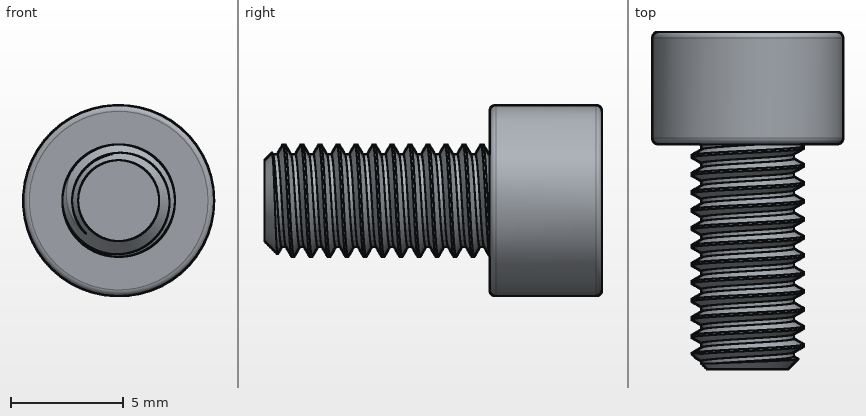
import cadquery as cq
import math


head_diameter = 8.5
head_height = 5.0
head_edge_radius = 0.28

thread_diameter = 5.0
thread_pitch = 0.8
shank_length = 10.0
tip_chamfer = 0.7
flank_half_angle = math.radians(30)

first_crest_distance = 0.133

sharp_height = thread_pitch / 2 / math.tan(flank_half_angle)
thread_depth = sharp_height * 5 / 8
crest_radius = thread_diameter / 2
root_radius = crest_radius - thread_depth
crest_flat = thread_pitch / 8

ridge_embedding = 0.05

ridge_overrun = thread_pitch
core_overrun = 2 * thread_pitch

envelope_clearance = 0.1


def make_ridge():
    """Helical thread ridge, overrunning the shank at both ends."""
    base_radius = root_radius - ridge_embedding
    crest_half = crest_flat / 2
    base_half = crest_half + (crest_radius - base_radius) * math.tan(flank_half_angle)
    helix = cq.Wire.makeHelix(thread_pitch, shank_length + 2 * ridge_overrun, root_radius)
    profile = (
        cq.Workplane("XZ")
        .moveTo(base_radius, -base_half)
        .lineTo(crest_radius, -crest_half)
        .lineTo(crest_radius, crest_half)
        .lineTo(base_radius, base_half)
        .close()
    )
    ridge = profile.sweep(cq.Workplane(obj=helix), isFrenet=True)
    return ridge.translate((0, 0, -ridge_overrun))


def make_long_core():
    """Root cylinder that sticks out past the ridge at both ends."""
    core = cq.Workplane("XY", origin=(0, 0, -core_overrun)).circle(root_radius)
    return core.extrude(shank_length + 2 * core_overrun)


def make_shank_envelope():
    """Cylinder as long as the shank and a little wider, whose chamfer cone bevels the tip."""
    cylinder = cq.Workplane("XY").circle(crest_radius + envelope_clearance).extrude(shank_length)
    return cylinder.faces(">Z").chamfer(tip_chamfer + envelope_clearance)


def make_threaded_shank():
    shank = make_long_core().union(make_ridge()).intersect(make_shank_envelope())
    start_angle = -360 * first_crest_distance / thread_pitch
    return shank.rotate((0, 0, 0), (0, 0, 1), start_angle)


def make_head():
    head = cq.Workplane("XY").circle(head_diameter / 2).extrude(-head_height)
    return head.edges("%CIRCLE").fillet(head_edge_radius)


screw = make_head().union(make_threaded_shank())

result = screw.rotate((0, 0, 0), (1, 0, 0), 90)